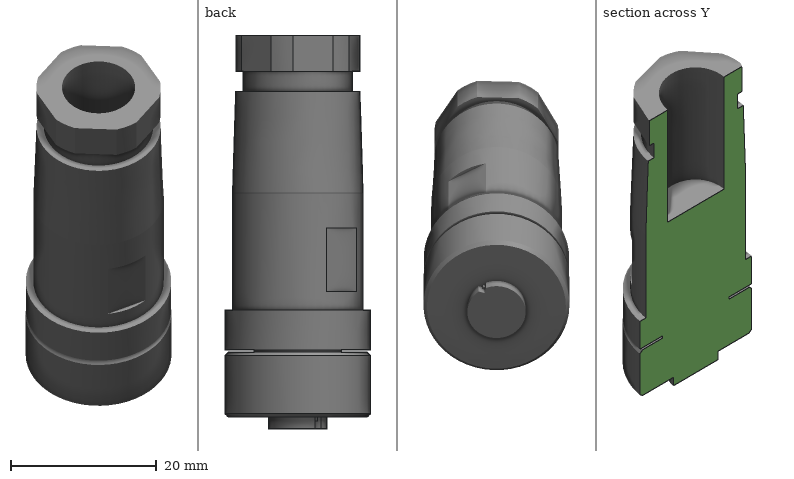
import cadquery as cq
import math

total_height = 54.0
ring_bottom = 1.6
ring_top = 10.55
collar_bottom = 10.85
collar_top = 16.3
taper_bottom = 32.35
taper_top = 46.35
nut_bottom = 49.1

insert_radius = 4.0
ring_diameter = 20.05
ring_radius = ring_diameter / 2
collar_radius = 10.0
gap_radius = 6.0
body_radius = 8.95
taper_top_radius = 8.55
neck_radius = 7.5
nut_radius = 8.55
bore_radius = 5.0

ring_chamfer = 0.5
bore_depth = total_height - taper_bottom

nut_flat_count = 6
nut_flat_width = 5.7
nut_flat_angle = 45.0

body_flat_width = 5.85
body_flat_bottom = 18.85
body_flat_top = 27.6
body_flat_angles = (-45.0, 135.0)

notch_inner_y = 2.45
notch_outer_y = 3.25
notch_floor_x = -math.sqrt(insert_radius**2 - notch_outer_y**2)
stop_width = 0.3
stop_bottom = 1.1
stop_front_x = -2.7


def cylinder(radius, bottom, top):
    """Vertical cylinder on the Z axis."""
    return cq.Workplane("XY").workplane(offset=bottom).circle(radius).extrude(top - bottom)


def flat_cutter(radius, width, bottom, top, angle):
    """Box whose inner face leaves a flat of the given width on a cylinder."""
    flat_distance = math.sqrt(radius**2 - (width / 2) ** 2)
    return (
        cq.Workplane("XY")
        .box(radius, 2 * radius, top - bottom, centered=(False, True, False))
        .translate((flat_distance, 0, bottom))
        .rotate((0, 0, 0), (0, 0, 1), angle)
    )


def make_insert():
    insert = cylinder(insert_radius, 0, ring_bottom)
    notch_width = notch_outer_y - notch_inner_y
    notch_length = insert_radius + notch_floor_x
    notch = (
        cq.Workplane("XY")
        .box(notch_length, notch_width, ring_bottom, centered=False)
        .translate((-insert_radius, notch_inner_y, 0))
    )
    stop = (
        cq.Workplane("XY")
        .box(notch_floor_x - stop_front_x, stop_width, ring_bottom - stop_bottom, centered=False)
        .translate((stop_front_x, notch_inner_y, stop_bottom))
    )
    return insert.cut(notch).union(stop)


def make_ring():
    return cylinder(ring_radius, ring_bottom, ring_top).edges().chamfer(ring_chamfer)


def make_body():
    taper = (
        cq.Workplane("XY")
        .workplane(offset=taper_bottom)
        .circle(body_radius)
        .workplane(offset=taper_top - taper_bottom)
        .circle(taper_top_radius)
        .loft(ruled=True)
    )
    body = cylinder(body_radius, collar_top, taper_bottom)
    for angle in body_flat_angles:
        body = body.cut(
            flat_cutter(body_radius, body_flat_width, body_flat_bottom, body_flat_top, angle)
        )
    return body.union(taper)


def make_nut():
    nut = cylinder(nut_radius, nut_bottom, total_height)
    for index in range(nut_flat_count):
        angle = nut_flat_angle + index * 360.0 / nut_flat_count
        nut = nut.cut(flat_cutter(nut_radius, nut_flat_width, nut_bottom, total_height, angle))
    return nut


result = (
    make_insert()
    .union(make_ring())
    .union(cylinder(gap_radius, ring_top, collar_bottom))
    .union(cylinder(collar_radius, collar_bottom, collar_top))
    .union(make_body())
    .union(cylinder(neck_radius, taper_top, nut_bottom))
    .union(make_nut())
    .cut(cylinder(bore_radius, total_height - bore_depth, total_height))
)